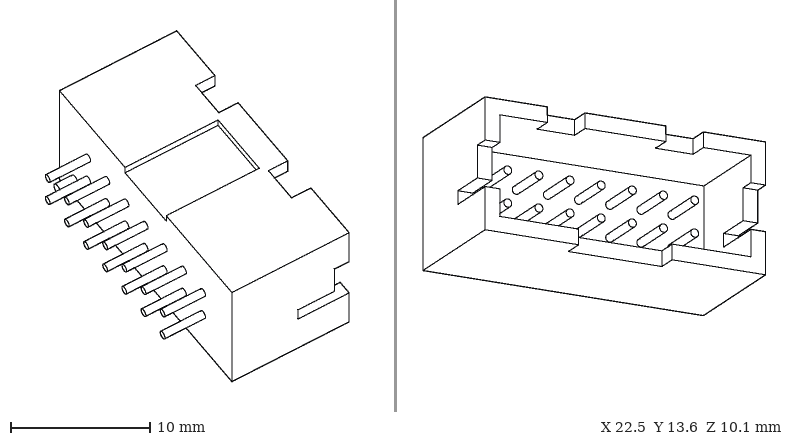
import cadquery as cq

WIDTH = 22.5
DEPTH = 10.1
HEIGHT = 10.1

WALL = 1.2
FLOOR = 2.5

END_SLOT_BOTTOM = 3.28
END_SLOT_HEIGHT = 1.04
END_SLOT_DEPTH = 4.4
END_STEP_DEPTH = 1.25

NOTCH_DEPTH = 1.66
UPPER_NOTCH_SPAN = 12.5
TONGUE_WIDTH = 6.48
KEYWAY_WIDTH = 7.5

RECESS_WIDTH = 5.38
RECESS_LENGTH = 8.0
RECESS_DEPTH = 0.6

COLUMNS = 7
ROWS = 2
PITCH = 2.5
PIN_DIAMETER = 0.63
PIN_TAIL = 3.49
PIN_TIP_SETBACK = 3.92

PEG_DIAMETER = 0.9
PEG_LENGTH = 1.53
PEG_X = -9.2
PEG_Z = 2.0


def block(x_size, y_start, y_end, z_start, z_end, x_center=0.0):
    """Box centred on x_center, spanning the given Y and Z ranges."""
    return (
        cq.Workplane("XY")
        .box(x_size, y_end - y_start, z_end - z_start, centered=(True, False, False))
        .translate((x_center, y_start, z_start))
    )


def rod(diameter, x, z, y_start, y_end):
    """Round rod parallel to Y."""
    axis = cq.Vector(0, 1, 0)
    start = cq.Vector(x, y_start, z)
    return cq.Workplane(cq.Solid.makeCylinder(diameter / 2, y_end - y_start, start, axis))


def cut_cavity(body):
    return body.cut(block(WIDTH - 2 * WALL, FLOOR, DEPTH, WALL, HEIGHT - WALL))


def cut_end_openings(body):
    """Narrow deep slot with a shallow step above it, through both end walls."""
    slot_top = END_SLOT_BOTTOM + END_SLOT_HEIGHT
    step_top = HEIGHT - END_SLOT_BOTTOM
    slot = block(WIDTH, DEPTH - END_SLOT_DEPTH, DEPTH, END_SLOT_BOTTOM, slot_top)
    step = block(WIDTH, DEPTH - END_STEP_DEPTH, DEPTH, END_SLOT_BOTTOM, step_top)
    return body.cut(slot).cut(step)


def cut_wall_notches(body):
    """Two notches beside a tongue in the upper wall, one central keyway in the lower wall."""
    notch_width = (UPPER_NOTCH_SPAN - TONGUE_WIDTH) / 2
    notch_x = (UPPER_NOTCH_SPAN + TONGUE_WIDTH) / 4
    notch_start = DEPTH - NOTCH_DEPTH
    for side in (-1, 1):
        body = body.cut(block(notch_width, notch_start, DEPTH, HEIGHT - WALL, HEIGHT, side * notch_x))
    return body.cut(block(KEYWAY_WIDTH, notch_start, DEPTH, 0, WALL))


def cut_top_recess(body):
    return body.cut(block(RECESS_WIDTH, 0, RECESS_LENGTH, HEIGHT - RECESS_DEPTH, HEIGHT))


def add_pins(body):
    """Grid of contacts running from the solder tails into the cavity."""
    for column in range(COLUMNS):
        for row in range(ROWS):
            x = (column - (COLUMNS - 1) / 2) * PITCH
            z = HEIGHT / 2 + (row - (ROWS - 1) / 2) * PITCH
            body = body.union(rod(PIN_DIAMETER, x, z, -PIN_TAIL, DEPTH - PIN_TIP_SETBACK))
    return body


def add_peg(body):
    return body.union(rod(PEG_DIAMETER, PEG_X, PEG_Z, -PEG_LENGTH, FLOOR / 2))


housing = block(WIDTH, 0, DEPTH, 0, HEIGHT)
housing = cut_cavity(housing)
housing = cut_end_openings(housing)
housing = cut_wall_notches(housing)
housing = cut_top_recess(housing)
result = add_peg(add_pins(housing))